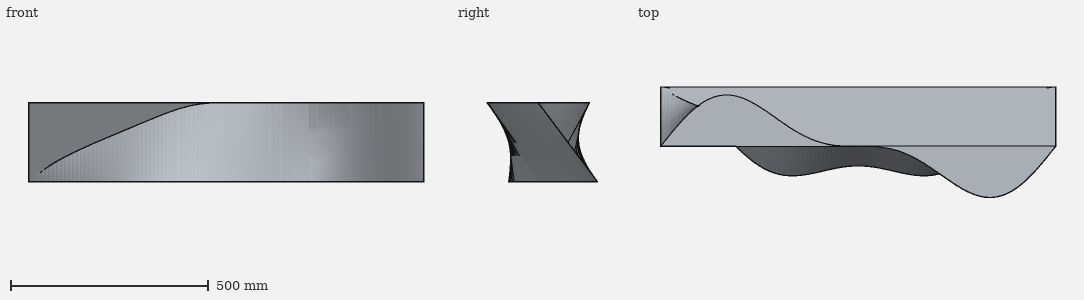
import cadquery as cq
import math

length = 1000.0
height = 200.0
main_amplitude = 100.0
second_amplitude = 50.0
strip_count = 100
overlap = 0.2
back = 200.0

wall_bottom_y = main_amplitude + second_amplitude
wall_top_y = 0.0


def rippled_outline(wave, z):
    """Closed outline at height z: the wave in front, straight sides and rear."""
    points = []
    for i in range(strip_count + 1):
        turn = 2 * math.pi * i / strip_count
        y = main_amplitude * wave(turn) + second_amplitude * wave(2 * turn)
        points.append(cq.Vector(length * i / strip_count, y, z))
    points.append(cq.Vector(length, back, z))
    points.append(cq.Vector(0, back, z))
    return cq.Wire.makePolygon(points, close=True)


def body_behind_ripple():
    """Everything between the rippled wall and the rear face."""
    bottom = rippled_outline(math.cos, 0)
    top = rippled_outline(math.sin, height)
    return cq.Workplane(cq.Solid.makeLoft([bottom, top], True))


def body_behind_slant(forward):
    """Everything between the slanted wall, moved forward toward -Y, and the rear face."""
    profile = [
        (wall_bottom_y - forward, 0),
        (wall_top_y - forward, height),
        (back, height),
        (back, 0),
    ]
    return cq.Workplane("YZ").polyline(profile).close().extrude(length)


behind_ripple = body_behind_ripple()
front_wedge = behind_ripple.cut(body_behind_slant(-overlap))
rear_wedge = body_behind_slant(overlap).cut(behind_ripple)
result = front_wedge.union(rear_wedge)